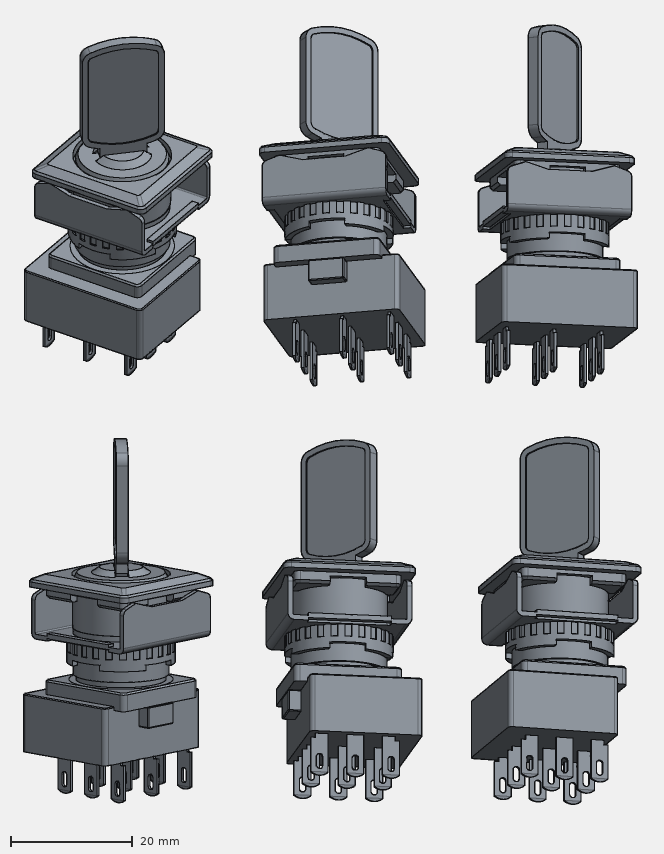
import cadquery as cq

BLOCK_BOTTOM_Z = 7.05
BLOCK_TOP_Z = 16.75
FLANGE_BOTTOM_Z = 16.1
FLANGE_TOP_Z = 19.2
BARREL_BOTTOM_Z = 20.1
RING_BOTTOM_Z = 22.15
RING_NOTCH_TOP_Z = 23.1
SLOT_BOTTOM_Z = 24.1
RING_TOP_Z = 26.1
BARREL_STEP_Z = 27.9
COLLAR_BOTTOM_Z = 32.85
COLLAR_NOTCH_TOP_Z = 34.15
PLATE_BOTTOM_Z = 34.8
PLATE_RIM_Z = 35.7
PLATE_BEVEL_Z = 36.05
PLATE_TOP_Z = 36.9
DISC_EDGE_Z = 36.35
DISC_TOP_Z = 37.1
CONE_TOP_Z = 38.0
KEY_TOP_Z = 59.2

PLATE_SIDE = 22.0
PLATE_CORNER_RADIUS = 1.1
RIM_INSET = 0.35
BEVEL_INSET = 2.0
PLUG_RECESS_DIAMETER = 16.2
PLUG_RECESS_DEPTH = 1.5
COLLAR_SIDE = 17.9
COLLAR_CORNER_RADIUS = 0.9
COLLAR_CHAMFER = 0.5
NOTCH_WIDTH = 6.05
UPPER_BARREL_DIAMETER = 16.0
BARREL_DIAMETER = 15.8
NECK_DIAMETER = 14.8
RING_DIAMETER = 17.9
RING_SLOT_DEPTH = 0.3
RING_SLOT_COUNT = 24
RING_SLOT_WIDTH = 1.1
FOOT_DIAMETER = 17.15

DISC_DIAMETER = 15.4
DISC_TOP_DIAMETER = 14.55
CONE_BOTTOM_DIAMETER = 9.7
CONE_TOP_DIAMETER = 7.1
KEY_ANGLE = 45
KEY_THICKNESS = 1.95
KEY_WIDTH = 13.85
KEY_BOTTOM_Z = 38.7
KEY_END_RISE = 1.6
KEY_CORNER_RADIUS = 2.0
PANEL_INSET = 1.0
PANEL_DEPTH = 0.3
STEM_WIDTH = 7.95
STEM_CHAMFER = 0.55
STEM_CHAMFER_INSET = 0.2
KEY_SLOT_CLEARANCE = 0.15

CLIP_LENGTH = 20.95
CLIP_WIDTH = 20.7
CLIP_THICKNESS = 0.8
CLIP_BEND_RADIUS = 1.05
CLIP_EAR_TOP_Z = 34.35
CLIP_EAR_X = 7.5
CLIP_DIP_Z = 33.2
CLIP_DIP_HALF = 3.7
CLIP_SHOULDER_Z = 33.3
CLIP_CORNER_RADIUS = 1.0
LIP_WIDTH = 1.25
LIP_LENGTH = 13.85
LIP_RISE = 0.4

BLOCK_MIN_X = -11.85
BLOCK_MAX_X = 11.2
BLOCK_MIN_Y = -11.9
BLOCK_MAX_Y = 6.85
BLOCK_CORNER_RADIUS = 0.75
BLOCK_CHAMFER = 0.2
FLANGE_SIDE = 18.0
FLANGE_CORNER_RADIUS = 0.9
FLANGE_CHAMFER = 0.3
LATCH_BOTTOM_Z = 12.5
LATCH_WIDTH = 6.05
LATCH_CHAMFER = 0.2
TERMINAL_MIDDLE_X = -1.95
TERMINAL_PITCH_X = 8.0
TERMINAL_MIDDLE_Y = -0.95
TERMINAL_PITCH_Y = 6.0
TERMINAL_THICKNESS = 0.5
TERMINAL_TIP_THICKNESS = 0.25
TERMINAL_WIDTH = 2.85
TERMINAL_TIP_RISE = 0.55
TERMINAL_NOTCH_WIDTH = 0.7
TERMINAL_NOTCH_HEIGHT = 0.7
EYE_WIDTH = 1.05
EYE_LENGTH = 2.55
EYE_CENTER_Z = 2.35


def cylinder(diameter, bottom_z, top_z):
    """Cylinder on the Z axis."""
    return cq.Workplane("XY").workplane(offset=bottom_z).circle(diameter / 2).extrude(top_z - bottom_z)


def cone(bottom_diameter, top_diameter, bottom_z, top_z):
    """Truncated cone on the Z axis."""
    return cq.Workplane(
        cq.Solid.makeCone(bottom_diameter / 2, top_diameter / 2, top_z - bottom_z, cq.Vector(0, 0, bottom_z))
    )


def box(min_x, max_x, min_y, max_y, bottom_z, top_z):
    """Box between the given limits."""
    return cq.Workplane("XY").box(
        max_x - min_x, max_y - min_y, top_z - bottom_z, centered=False
    ).translate((min_x, min_y, bottom_z))


def square_block(side, bottom_z, top_z):
    """Square block centred on the Z axis."""
    return box(-side / 2, side / 2, -side / 2, side / 2, bottom_z, top_z)


def square_frustum(bottom_side, top_side, bottom_z, top_z):
    """Square block with sloping sides, centred on the Z axis."""
    return (
        cq.Workplane("XY")
        .workplane(offset=bottom_z)
        .rect(bottom_side, bottom_side)
        .workplane(offset=top_z - bottom_z)
        .rect(top_side, top_side)
        .loft(ruled=True)
    )


def side_notches(inner_diameter, bottom_z, top_z):
    """Notch cutters for all four sides, stopping at a round core."""
    reach = PLATE_SIDE
    bars = box(-NOTCH_WIDTH / 2, NOTCH_WIDTH / 2, -reach, reach, bottom_z, top_z).union(
        box(-reach, reach, -NOTCH_WIDTH / 2, NOTCH_WIDTH / 2, bottom_z, top_z)
    )
    return bars.cut(cylinder(inner_diameter, bottom_z, top_z))


def make_plate():
    """Square front plate with bevelled rim and a round recess for the plug."""
    rim_side = PLATE_SIDE - 2 * RIM_INSET
    top_side = PLATE_SIDE - 2 * BEVEL_INSET
    base = square_block(PLATE_SIDE, PLATE_BOTTOM_Z, PLATE_BEVEL_Z).edges("|Z").fillet(PLATE_CORNER_RADIUS)
    base = base.faces(">Z").edges().chamfer(PLATE_BEVEL_Z - PLATE_RIM_Z, RIM_INSET)
    bevel = square_frustum(rim_side, top_side, PLATE_BEVEL_Z, PLATE_TOP_Z)
    bevel = bevel.edges("not #Z").fillet(PLATE_CORNER_RADIUS)
    rim_prism = square_block(rim_side, PLATE_BEVEL_Z, PLATE_TOP_Z)
    bevel = bevel.intersect(rim_prism.edges("|Z").fillet(PLATE_CORNER_RADIUS - RIM_INSET))
    plate = base.union(bevel)
    return plate.cut(cylinder(PLUG_RECESS_DIAMETER, PLATE_TOP_Z - PLUG_RECESS_DEPTH, PLATE_TOP_Z))


def make_collar():
    """Square collar below the plate, notched in the middle of each side."""
    collar = square_block(COLLAR_SIDE, COLLAR_BOTTOM_Z, PLATE_BOTTOM_Z)
    collar = collar.edges("|Z").fillet(COLLAR_CORNER_RADIUS).faces("<Z").edges().chamfer(COLLAR_CHAMFER)
    return collar.cut(side_notches(UPPER_BARREL_DIAMETER, COLLAR_BOTTOM_Z, COLLAR_NOTCH_TOP_Z))


def make_ring():
    """Grip ring with vertical slots around it and a notch in its lower edge on each side."""
    ring = cylinder(RING_DIAMETER, RING_BOTTOM_Z, RING_TOP_Z)
    slot_floor = RING_DIAMETER / 2 - RING_SLOT_DEPTH
    slot_half = RING_SLOT_WIDTH / 2
    slot = box(slot_floor, RING_DIAMETER, -slot_half, slot_half, SLOT_BOTTOM_Z, RING_TOP_Z)
    for index in range(RING_SLOT_COUNT):
        angle = index * 360 / RING_SLOT_COUNT
        ring = ring.cut(slot.rotate((0, 0, 0), (0, 0, 1), angle))
    return ring.cut(side_notches(BARREL_DIAMETER, RING_BOTTOM_Z, RING_NOTCH_TOP_Z))


def make_housing():
    """Front plate, collar, barrel, grip ring and the foot that sits in the contact block."""
    return (
        make_plate()
        .union(make_collar())
        .union(cylinder(UPPER_BARREL_DIAMETER, BARREL_STEP_Z, PLATE_BOTTOM_Z))
        .union(cylinder(BARREL_DIAMETER, BARREL_BOTTOM_Z, BARREL_STEP_Z))
        .union(make_ring())
        .union(cylinder(NECK_DIAMETER, FLANGE_TOP_Z, BARREL_BOTTOM_Z))
        .union(cylinder(FOOT_DIAMETER, BLOCK_TOP_Z, FLANGE_TOP_Z))
    )


def make_key_head():
    """Flat key head with straight sides, arched ends and a shallow panel sunk in both faces."""
    half = KEY_WIDTH / 2
    head = (
        cq.Workplane("XZ")
        .moveTo(-half, KEY_BOTTOM_Z + KEY_END_RISE)
        .threePointArc((0, KEY_BOTTOM_Z), (half, KEY_BOTTOM_Z + KEY_END_RISE))
        .lineTo(half, KEY_TOP_Z - KEY_END_RISE)
        .threePointArc((0, KEY_TOP_Z), (-half, KEY_TOP_Z - KEY_END_RISE))
        .close()
        .extrude(KEY_THICKNESS / 2, both=True)
        .edges("|Y")
        .fillet(KEY_CORNER_RADIUS)
    )
    panel_outline = head.faces("<Y").wires().val().offset2D(-PANEL_INSET)[0]
    panel = cq.Workplane(cq.Solid.extrudeLinear(panel_outline, [], cq.Vector(0, PANEL_DEPTH, 0)))
    opposite_panel = panel.translate((0, KEY_THICKNESS - PANEL_DEPTH, 0))
    return head.cut(panel).cut(opposite_panel)


def make_key_stem():
    """Stem from the key head down to the top of the disc, with a bevelled foot."""
    half = STEM_WIDTH / 2
    foot_half = half - STEM_CHAMFER_INSET
    stem_top_z = KEY_BOTTOM_Z + PANEL_INSET
    return (
        cq.Workplane("XZ")
        .moveTo(-foot_half, DISC_TOP_Z)
        .lineTo(foot_half, DISC_TOP_Z)
        .lineTo(half, DISC_TOP_Z + STEM_CHAMFER)
        .lineTo(half, stem_top_z)
        .lineTo(-half, stem_top_z)
        .lineTo(-half, DISC_TOP_Z + STEM_CHAMFER)
        .close()
        .extrude(KEY_THICKNESS / 2, both=True)
    )


def make_key_plug():
    """Round plug with a slotted cone and the key standing in the slot, turned to its angle."""
    disc = cylinder(DISC_DIAMETER, PLATE_TOP_Z - PLUG_RECESS_DEPTH, DISC_EDGE_Z)
    rim = cone(DISC_DIAMETER, DISC_TOP_DIAMETER, DISC_EDGE_Z, DISC_TOP_Z)
    raised = cone(CONE_BOTTOM_DIAMETER, CONE_TOP_DIAMETER, DISC_TOP_Z, CONE_TOP_Z)
    slot_half = KEY_THICKNESS / 2 + KEY_SLOT_CLEARANCE
    slot = box(-CONE_BOTTOM_DIAMETER, CONE_BOTTOM_DIAMETER, -slot_half, slot_half, DISC_TOP_Z, CONE_TOP_Z)
    key = make_key_head().union(make_key_stem())
    plug = disc.union(rim).union(raised.cut(slot)).union(key)
    return plug.rotate((0, 0, 0), (0, 0, 1), KEY_ANGLE)


def make_clip_arm_outline():
    """Prism across the clip with the arm outline: flat dip, two pointed ears and rounded shoulders."""
    half_length = CLIP_LENGTH / 2
    prism = (
        cq.Workplane("XZ")
        .moveTo(-half_length, RING_TOP_Z)
        .lineTo(half_length, RING_TOP_Z)
        .lineTo(half_length, CLIP_SHOULDER_Z)
        .lineTo(CLIP_EAR_X, CLIP_EAR_TOP_Z)
        .lineTo(CLIP_DIP_HALF, CLIP_DIP_Z)
        .lineTo(-CLIP_DIP_HALF, CLIP_DIP_Z)
        .lineTo(-CLIP_EAR_X, CLIP_EAR_TOP_Z)
        .lineTo(-half_length, CLIP_SHOULDER_Z)
        .close()
        .extrude(CLIP_WIDTH / 2, both=True)
    )
    prism = prism.faces(">X").edges(">Z").fillet(CLIP_CORNER_RADIUS)
    return prism.faces("<X").edges(">Z").fillet(CLIP_CORNER_RADIUS)


def make_clip():
    """U-shaped spring clip with shaped arms, raised end lips and a hole for the barrel."""
    half_length = CLIP_LENGTH / 2
    half_width = CLIP_WIDTH / 2
    inner_half = half_width - CLIP_THICKNESS
    floor_top_z = RING_TOP_Z + CLIP_THICKNESS
    outside = box(-half_length, half_length, -half_width, half_width, RING_TOP_Z, CLIP_EAR_TOP_Z)
    outside = outside.edges("|X and <Z").fillet(CLIP_BEND_RADIUS)
    inside = box(-half_length, half_length, -inner_half, inner_half, floor_top_z, CLIP_EAR_TOP_Z)
    inside = inside.edges("|X and <Z").fillet(CLIP_BEND_RADIUS - CLIP_THICKNESS)
    clip = outside.cut(inside).intersect(make_clip_arm_outline())

    lip = box(half_length - LIP_WIDTH, half_length, -LIP_LENGTH / 2, LIP_LENGTH / 2, RING_TOP_Z, floor_top_z)
    for turn in (0, 180):
        end_lip = lip.rotate((0, 0, 0), (0, 0, 1), turn)
        clip = clip.cut(end_lip).union(end_lip.translate((0, 0, LIP_RISE)))
    return clip.cut(cylinder(BARREL_DIAMETER, RING_TOP_Z, BARREL_STEP_Z))


def make_terminal(notch_side):
    """Solder tab with a thinned, curved tip and an oblong eye, notched at the top of its +Y or -Y edge.

    notch_side is 1 for the +Y edge, -1 for the -Y edge and 0 for no notch.
    """
    half = TERMINAL_WIDTH / 2
    half_thickness = TERMINAL_THICKNESS / 2
    tab = (
        cq.Workplane("YZ")
        .moveTo(-half, BLOCK_BOTTOM_Z)
        .lineTo(-half, TERMINAL_TIP_RISE)
        .threePointArc((0, 0), (half, TERMINAL_TIP_RISE))
        .lineTo(half, BLOCK_BOTTOM_Z)
        .close()
        .extrude(half_thickness, both=True)
    )
    eye = cq.Workplane("YZ").center(0, EYE_CENTER_Z).slot2D(EYE_LENGTH, EYE_WIDTH, 90)
    tab = tab.cut(eye.extrude(half_thickness, both=True))
    half_tip = TERMINAL_TIP_THICKNESS / 2
    tip_taper = (
        cq.Workplane("XZ")
        .moveTo(-half_tip, 0)
        .lineTo(half_tip, 0)
        .lineTo(half_thickness, TERMINAL_TIP_RISE)
        .lineTo(half_thickness, BLOCK_BOTTOM_Z)
        .lineTo(-half_thickness, BLOCK_BOTTOM_Z)
        .lineTo(-half_thickness, TERMINAL_TIP_RISE)
        .close()
        .extrude(half, both=True)
    )
    tab = tab.intersect(tip_taper)
    if notch_side != 0:
        notch_bottom_z = BLOCK_BOTTOM_Z - TERMINAL_NOTCH_HEIGHT
        notch_floor_y = half - TERMINAL_NOTCH_WIDTH
        notch = box(-half_thickness, half_thickness, notch_floor_y, half, notch_bottom_z, BLOCK_BOTTOM_Z)
        if notch_side < 0:
            notch = notch.mirror("XZ")
        tab = tab.cut(notch)
    return tab


def make_contact_block():
    """Offset block with a square flange, a latch and a three by three grid of terminals."""
    block = box(BLOCK_MIN_X, BLOCK_MAX_X, BLOCK_MIN_Y, BLOCK_MAX_Y, BLOCK_BOTTOM_Z, BLOCK_TOP_Z)
    block = block.edges("|Z").fillet(BLOCK_CORNER_RADIUS).faces(">Z").edges().chamfer(BLOCK_CHAMFER)
    flange = square_block(FLANGE_SIDE, FLANGE_BOTTOM_Z, FLANGE_TOP_Z)
    flange = flange.edges("|Z").fillet(FLANGE_CORNER_RADIUS).faces(">Z").edges().chamfer(FLANGE_CHAMFER)
    latch = box(-LATCH_WIDTH / 2, LATCH_WIDTH / 2, 0, FLANGE_SIDE / 2, LATCH_BOTTOM_Z, FLANGE_BOTTOM_Z)
    latch = latch.edges("|Y or >Y").chamfer(LATCH_CHAMFER)
    block = block.union(flange).union(latch)
    for column in (-1, 0, 1):
        for row in (-1, 0, 1):
            x = TERMINAL_MIDDLE_X + column * TERMINAL_PITCH_X
            y = TERMINAL_MIDDLE_Y + row * TERMINAL_PITCH_Y
            block = block.union(make_terminal(row).translate((x, y, 0)))
    return block.cut(cylinder(FOOT_DIAMETER, BLOCK_TOP_Z, FLANGE_TOP_Z))


housing = make_housing()
key_plug = make_key_plug()
clip = make_clip()
contact_block = make_contact_block()

result = cq.Compound.makeCompound([housing.val(), key_plug.val(), clip.val(), contact_block.val()])